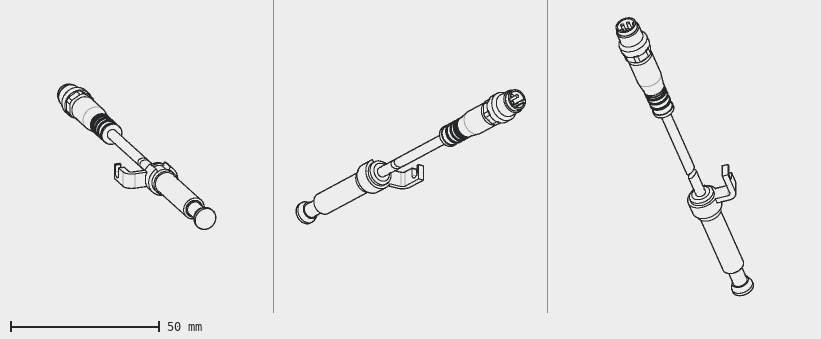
import cadquery as cq
import math

OVERALL_LENGTH = 126.6

CABLE_DIA = 3.4
BREAK_ANGLE = 30
BREAK_GAP = 1.9
PLUG_CABLE_END = 69.9
SENSOR_CABLE_START = PLUG_CABLE_END + BREAK_GAP

NOSE_DIA = 7.0
NOSE_END = 1.6
SLEEVE_DIA = 8.0
SLEEVE_CHAMFER = 0.4
SLEEVE_END = 6.5
RING_DIA = 10.0
RING_START = 7.7
RING_END = 10.5
HEX_FLATS = 8.7
HEX_CORNER_DIA = 9.4
HEX_END = 13.5

NECK_DIA = 5.8
GRIP_START = 15.1
GRIP_DIA = 8.5
GRIP_END = 25.3
TAPER_DIA = 7.1
RELIEF_DIA = 7.2
RELIEF_GROOVE_DIA = 6.7
RELIEF_RIBS = [(30.4, 31.3), (32.2, 32.8), (34.3, 34.8), (36.7, 37.3), (39.8, 41.0)]

SOCKET_DIA = 5.8
SOCKET_DEPTH = 5.7
CONTACT_DIA = 1.0
CONTACT_TIP = 0.6
CONTACT_PAIRS = [(1.5, 2.5), (-0.5, 3.2)]
KEY_WIDTH = 1.0
KEY_HEIGHT = 0.5

COLLAR_DIA = 8.5
COLLAR_START = 80.9
COLLAR_END = 90.1
COLLAR_CHAMFER_LENGTH = 0.6
COLLAR_FACE_DIA = 6.3
CLIP_GROOVE_DIA = 7.2
CLIP_GROOVE_START = 82.7
CLIP_GROOVE_END = 88.2
BARREL_DIA = 7.5
BARREL_END = 116.0
TIP_STEP_DIA = 5.8
TIP_STEP_LENGTH = 0.4
TIP_DIA = 5.0
FLARE_START = 123.4
FLARE_BASE_DIA = 5.8
RIM_WIDTH = 1.1
RIM_START = OVERALL_LENGTH - RIM_WIDTH

CLIP_DIA = 10.5
CLIP_WIDTH = 5.2
CLIP_GAP_ANGLE = 58
ARM_WIDTH = CLIP_WIDTH
ARM_THICKNESS = 2.0
ARM_INNER_RADIUS = 1.0
ARM_OUTER_RADIUS = ARM_INNER_RADIUS + ARM_THICKNESS
ARM_REACH = 12.0
ARM_TIP = 73.5
SLOT_WIDTH = 3.0
SLOT_POSITION = 76.0
SLOT_ROUND_HEIGHT = 0.1


def turned(stations):
    """Solid of revolution about X from (x, diameter) stations."""
    outline = [(stations[0][0], 0)]
    outline += [(x, dia / 2) for x, dia in stations]
    outline.append((stations[-1][0], 0))
    return cq.Workplane("XY").polyline(outline).close().revolve(360, (0, 0, 0), (1, 0, 0))


def rod(start, end, dia):
    """Cylinder along X."""
    return turned([(start, dia), (end, dia)])


def break_half_space(middle, side):
    """Block beyond the slanted break plane, on its -X (side=-1) or +X (side=1) side."""
    size = OVERALL_LENGTH
    block = cq.Workplane("XY").box(size, size, size).translate((side * size / 2, 0, 0))
    return block.rotate((0, 0, 0), (0, 0, 1), -BREAK_ANGLE).translate((middle, 0, 0))


def plug_front():
    """Nose, sleeve and coupling ring."""
    return turned([
        (0, NOSE_DIA),
        (NOSE_END, NOSE_DIA),
        (NOSE_END, SLEEVE_DIA - 2 * SLEEVE_CHAMFER),
        (NOSE_END + SLEEVE_CHAMFER, SLEEVE_DIA),
        (SLEEVE_END, SLEEVE_DIA),
        (RING_START, RING_DIA),
        (RING_END, RING_DIA),
    ])


def plug_hexagon():
    """Hexagon with two flats facing -Y and +Y and its corners turned round."""
    hexagon = (
        cq.Workplane("YZ", origin=(RING_END, 0, 0))
        .polygon(6, HEX_FLATS, circumscribed=True)
        .extrude(HEX_END - RING_END)
    )
    return hexagon.intersect(rod(RING_END, HEX_END, HEX_CORNER_DIA))


def plug_grip():
    """Neck, grip and tapered strain relief with its ribs."""
    relief_start = RELIEF_RIBS[0][0]
    relief_end = RELIEF_RIBS[-1][1]
    grip = turned([
        (HEX_END, NECK_DIA),
        (GRIP_START, NECK_DIA),
        (GRIP_START, GRIP_DIA),
        (GRIP_END, GRIP_DIA),
        (relief_start, TAPER_DIA),
        (relief_start, RELIEF_GROOVE_DIA),
        (relief_end, RELIEF_GROOVE_DIA),
    ])
    for rib_start, rib_end in RELIEF_RIBS:
        grip = grip.union(rod(rib_start, rib_end, RELIEF_DIA))
    return grip


def socket_contacts():
    """Four contact pins standing on the socket floor."""
    places = [(y, side * spacing / 2) for y, spacing in CONTACT_PAIRS for side in (-1, 1)]
    return (
        cq.Workplane("YZ", origin=(CONTACT_TIP, 0, 0))
        .pushPoints(places)
        .circle(CONTACT_DIA / 2)
        .extrude(SOCKET_DEPTH - CONTACT_TIP)
    )


def socket_key():
    """Key rib along the -Y side of the socket wall."""
    wall_middle = (NOSE_DIA + SOCKET_DIA) / 4
    key_depth = wall_middle - SOCKET_DIA / 2 + KEY_HEIGHT
    key = cq.Workplane("XY").box(SOCKET_DEPTH, key_depth, KEY_WIDTH, centered=(False, False, True))
    return key.translate((0, -wall_middle, 0))


def make_plug():
    relief_end = RELIEF_RIBS[-1][1]
    cable = rod(relief_end, PLUG_CABLE_END + CABLE_DIA, CABLE_DIA)
    cable = cable.cut(break_half_space(PLUG_CABLE_END, 1))
    body = plug_front().union(plug_hexagon()).union(plug_grip()).union(cable)
    body = body.cut(rod(0, SOCKET_DEPTH, SOCKET_DIA))
    return body.union(socket_contacts()).union(socket_key())


def sensor_collar():
    """Collar with a chamfered front edge and a groove for the clip."""
    collar = turned([
        (COLLAR_START, COLLAR_FACE_DIA),
        (COLLAR_START + COLLAR_CHAMFER_LENGTH, COLLAR_DIA),
        (COLLAR_END, COLLAR_DIA),
    ])
    groove = rod(CLIP_GROOVE_START, CLIP_GROOVE_END, COLLAR_DIA)
    groove = groove.cut(rod(CLIP_GROOVE_START, CLIP_GROOVE_END, CLIP_GROOVE_DIA))
    return collar.cut(groove)


def sensor_barrel():
    """Barrel, stepped tip and flared end."""
    step_end = BARREL_END + TIP_STEP_LENGTH
    return turned([
        (COLLAR_END, BARREL_DIA),
        (BARREL_END, BARREL_DIA),
        (BARREL_END, TIP_STEP_DIA),
        (step_end, TIP_STEP_DIA),
        (step_end, TIP_DIA),
        (FLARE_START, TIP_DIA),
        (FLARE_START, FLARE_BASE_DIA),
        (RIM_START, BARREL_DIA),
        (OVERALL_LENGTH, BARREL_DIA),
    ])


def clip_ring():
    """Ring around the collar groove with a wedge-shaped gap at the top."""
    clip_end = CLIP_GROOVE_START + CLIP_WIDTH
    ring = rod(CLIP_GROOVE_START, clip_end, CLIP_DIA)
    ring = ring.cut(rod(CLIP_GROOVE_START, clip_end, CLIP_GROOVE_DIA))
    half_gap = CLIP_DIA * math.tan(math.radians(CLIP_GAP_ANGLE / 2))
    gap = (
        cq.Workplane("YZ", origin=(CLIP_GROOVE_START, 0, 0))
        .polyline([(0, 0), (half_gap, CLIP_DIA), (-half_gap, CLIP_DIA)])
        .close()
        .extrude(CLIP_WIDTH)
    )
    return ring.cut(gap)


def clip_arm():
    """L-shaped arm leaving the clip toward -Y and bent toward -X, slotted from above."""
    front = CLIP_GROOVE_START
    back = front + ARM_THICKNESS
    arm = (
        cq.Workplane("XY", origin=(0, 0, -ARM_WIDTH / 2))
        .moveTo(front, 0)
        .lineTo(back, 0)
        .lineTo(back, -ARM_REACH + ARM_OUTER_RADIUS)
        .radiusArc((back - ARM_OUTER_RADIUS, -ARM_REACH), ARM_OUTER_RADIUS)
        .lineTo(ARM_TIP, -ARM_REACH)
        .lineTo(ARM_TIP, -ARM_REACH + ARM_THICKNESS)
        .lineTo(back - ARM_OUTER_RADIUS, -ARM_REACH + ARM_THICKNESS)
        .radiusArc((front, -ARM_REACH + ARM_OUTER_RADIUS), -ARM_INNER_RADIUS)
        .close()
        .extrude(ARM_WIDTH)
    )
    slot_length = ARM_WIDTH
    slot_middle = SLOT_ROUND_HEIGHT + (slot_length - SLOT_WIDTH) / 2
    slot = (
        cq.Workplane("XZ", origin=(SLOT_POSITION, 0, slot_middle))
        .slot2D(slot_length, SLOT_WIDTH, 90)
        .extrude(ARM_REACH)
    )
    return arm.cut(slot).cut(rod(front, back, CLIP_GROOVE_DIA))


def make_sensor():
    cable = rod(SENSOR_CABLE_START - CABLE_DIA, COLLAR_START, CABLE_DIA)
    cable = cable.cut(break_half_space(SENSOR_CABLE_START, -1))
    return cable.union(sensor_collar()).union(sensor_barrel()).union(clip_ring()).union(clip_arm())


plug = make_plug()
sensor = make_sensor()
result = cq.Compound.makeCompound([plug.val(), sensor.val()])